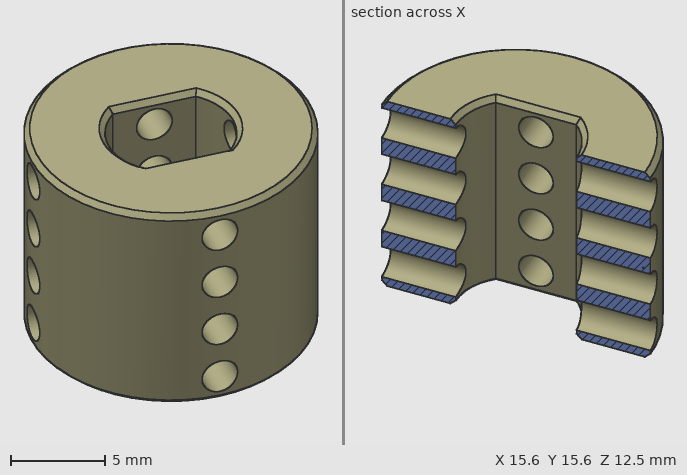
import cadquery as cq

body_diameter = 15.62
body_height = 12.5
edge_chamfer = 0.31

bore_diameter = 7.0
bore_across_flats = 5.2

cross_hole_diameter = 2.0
cross_hole_rows = 4
row_pitch = body_height / cross_hole_rows


def make_body():
    """Cylinder with both outer rims chamfered."""
    body = cq.Workplane("XY").circle(body_diameter / 2).extrude(body_height)
    return body.faces("<Z or >Z").edges().chamfer(edge_chamfer)


def cut_double_d_bore(body):
    """Cut the flatted bore through the body and chamfer both of its mouths."""
    round_bore = cq.Workplane("XY").circle(bore_diameter / 2).extrude(body_height)
    flat_limits = cq.Workplane("XY").rect(bore_across_flats, bore_diameter).extrude(body_height)
    bored = body.cut(round_bore.intersect(flat_limits))
    mouth_reach = bore_diameter / 2 + edge_chamfer
    mouth_box = cq.selectors.BoxSelector(
        (-mouth_reach, -mouth_reach, -edge_chamfer),
        (mouth_reach, mouth_reach, body_height + edge_chamfer),
        boundingbox=True,
    )
    return bored.faces("<Z or >Z").edges(mouth_box).chamfer(edge_chamfer)


def cross_holes(plane):
    """Column of drills passing right across the body, normal to the given plane."""
    centers = [(0, (row + 0.5) * row_pitch) for row in range(cross_hole_rows)]
    return (
        cq.Workplane(plane)
        .pushPoints(centers)
        .circle(cross_hole_diameter / 2)
        .extrude(body_diameter / 2, both=True)
    )


result = cut_double_d_bore(make_body())
for hole_plane in ("XZ", "YZ"):
    result = result.cut(cross_holes(hole_plane))